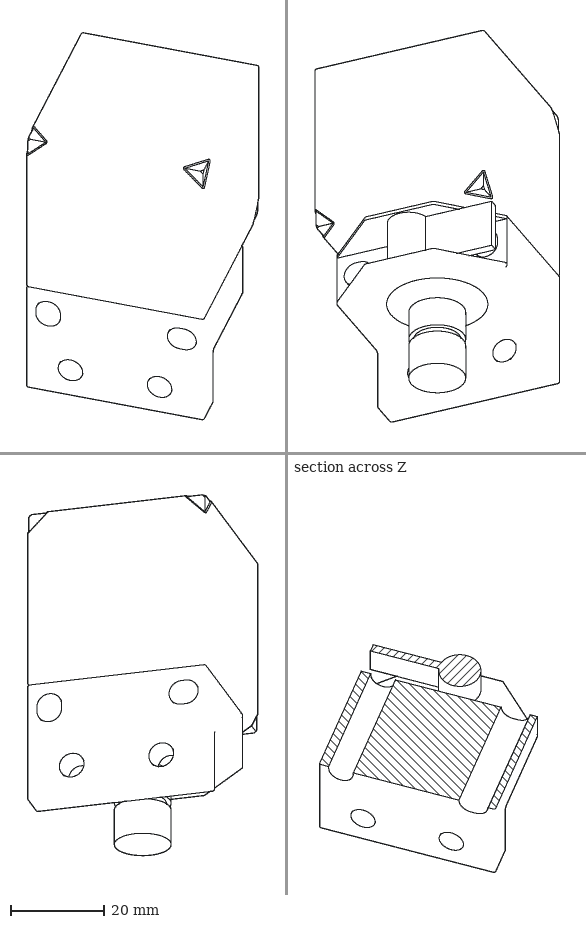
import cadquery as cq

TOTAL_HEIGHT = 71.5
SIDE = 40.0
HALF = SIDE / 2
EDGE_RADIUS = 0.5

HEAD_BOTTOM = TOTAL_HEIGHT - SIDE
WINDOW_LEG = 4.9
WINDOW_RECESS = 0.3
WINDOW_TIP_CUT = 0.65
WINDOW_CORNERS = [(-1, -1, 1), (1, -1, 1), (-1, 1, -1), (1, 1, -1)]

BASE_UNDERSIDE = 18.5
LEG_BOTTOM = 4.6
LEG_THICKNESS = 7.1
REAR_CHAMFER = 11.95
POCKET_BOTTOM = 19.5
POCKET_TOP = 30.5
POCKET_FRONT = HALF - REAR_CHAMFER

HOLE_DIAMETER = 5.5
HOLE_SPACING = 20.0
HOLE_Z = 11.5
SLOT_LENGTH = 6.5
SLOT_SPACING = 30.0
SLOT_Z = 25.5

CONNECTOR_DIAMETER = 12.2
CONE_TOP_DIAMETER = 21.75
CONE_HEIGHT = 2.1
GROOVE_DIAMETER = 10.15
GROOVE_BOTTOM = 8.1
GROOVE_HEIGHT = 1.6

KNOB_DIAMETER = 9.15
KNOB_Y = HALF - 5.0
LEVER_THICKNESS = 2.0


def corner_tetrahedron(half_size, signs, leg):
    """Tetrahedron that fills one corner of a cube centred on the origin."""
    corner = cq.Vector(*(sign * half_size for sign in signs))
    along_x = corner - cq.Vector(signs[0] * leg, 0, 0)
    along_y = corner - cq.Vector(0, signs[1] * leg, 0)
    along_z = corner - cq.Vector(0, 0, signs[2] * leg)
    triangles = [
        (corner, along_x, along_y),
        (corner, along_y, along_z),
        (corner, along_z, along_x),
        (along_x, along_y, along_z),
    ]
    faces = [cq.Face.makeFromWires(cq.Wire.makePolygon(points, close=True)) for points in triangles]
    return cq.Workplane(cq.Solid.makeSolid(cq.Shell.makeShell(faces)))


def cut_window_corners(cube, half_size, leg):
    """Slice the four window corners off a cube centred on the origin."""
    for signs in WINDOW_CORNERS:
        cube = cube.cut(corner_tetrahedron(half_size, signs, leg))
    return cube


def make_head():
    """Rounded cube; a slightly smaller cube inside shows at the four cut corners as windows."""
    shell = cq.Workplane().box(SIDE, SIDE, SIDE).edges().fillet(EDGE_RADIUS)
    shell = cut_window_corners(shell, HALF, WINDOW_LEG)

    inner_half = HALF - WINDOW_RECESS
    inner_side = 2 * inner_half
    core = cq.Workplane().box(inner_side, inner_side, inner_side)
    core = cut_window_corners(core, inner_half, WINDOW_TIP_CUT)
    return shell.union(core).translate((0, 0, HEAD_BOTTOM + HALF))


def make_base_block():
    """L-shaped block: a body below the head and a mounting leg along the front."""
    leg_rear = -HALF + LEG_THICKNESS
    block = (
        cq.Workplane("YZ")
        .moveTo(-HALF, LEG_BOTTOM)
        .lineTo(leg_rear, LEG_BOTTOM)
        .lineTo(leg_rear, BASE_UNDERSIDE)
        .lineTo(HALF, BASE_UNDERSIDE)
        .lineTo(HALF, HEAD_BOTTOM)
        .lineTo(-HALF, HEAD_BOTTOM)
        .close()
        .extrude(HALF, both=True)
    )
    block = block.edges("|Z and >Y").chamfer(REAR_CHAMFER)
    chamfer_starts = cq.selectors.BoxSelector(
        (-SIDE, POCKET_FRONT - EDGE_RADIUS, 0),
        (SIDE, POCKET_FRONT + EDGE_RADIUS, TOTAL_HEIGHT),
    )
    sharp_edges = block.edges("|Z").edges(chamfer_starts).vals()
    rounded_edges = [edge for edge in block.edges().vals() if edge not in sharp_edges]
    return block.newObject(rounded_edges).fillet(EDGE_RADIUS)


def cut_pocket(base):
    """Rear pocket, open to both sides, that holds the latch."""
    pocket = cq.Workplane().box(
        SIDE, HALF - POCKET_FRONT, POCKET_TOP - POCKET_BOTTOM, centered=(True, False, False)
    )
    return base.cut(pocket.translate((0, POCKET_FRONT, POCKET_BOTTOM)))


def through_cutter(outline):
    """Cutter that runs through the whole base along Y."""
    return outline.extrude(HALF, both=True)


def cut_mounting_holes(base):
    """Two round holes in the leg, an upright slot and a level slot above them."""
    front = cq.Workplane("XZ")
    holes = through_cutter(
        front.pushPoints([(-HOLE_SPACING / 2, HOLE_Z), (HOLE_SPACING / 2, HOLE_Z)]).circle(HOLE_DIAMETER / 2)
    )
    upright_slot = through_cutter(
        front.center(-SLOT_SPACING / 2, SLOT_Z).slot2D(SLOT_LENGTH, HOLE_DIAMETER, 90)
    )
    level_slot = through_cutter(
        front.center(SLOT_SPACING / 2, SLOT_Z).slot2D(SLOT_LENGTH, HOLE_DIAMETER, 0)
    )
    return base.cut(holes).cut(upright_slot).cut(level_slot)


def make_connector():
    """Turned plug with a conical collar under the base and a ring groove."""
    radius = CONNECTOR_DIAMETER / 2
    groove_radius = GROOVE_DIAMETER / 2
    groove_top = GROOVE_BOTTOM + GROOVE_HEIGHT
    return (
        cq.Workplane("XZ")
        .lineTo(radius, 0)
        .lineTo(radius, GROOVE_BOTTOM)
        .lineTo(groove_radius, GROOVE_BOTTOM)
        .lineTo(groove_radius, groove_top)
        .lineTo(radius, groove_top)
        .lineTo(radius, BASE_UNDERSIDE - CONE_HEIGHT)
        .lineTo(CONE_TOP_DIAMETER / 2, BASE_UNDERSIDE)
        .lineTo(0, BASE_UNDERSIDE)
        .close()
        .revolve()
    )


def make_base():
    """Mounting base with its connector as one piece."""
    base = cut_mounting_holes(cut_pocket(make_base_block()))
    return base.union(make_connector())


def make_latch():
    """Upright knob with a flat lever that reaches the left side of the base."""
    height = POCKET_TOP - POCKET_BOTTOM
    knob = cq.Workplane().circle(KNOB_DIAMETER / 2).extrude(height)
    lever = cq.Workplane().box(HALF, LEVER_THICKNESS, height, centered=(False, True, False))
    latch = knob.union(lever.translate((-HALF, 0, 0)))
    return latch.translate((0, KNOB_Y, POCKET_BOTTOM))


head = make_head()
base = make_base()
latch = make_latch()
result = cq.Compound.makeCompound([head.val(), base.val(), latch.val()])